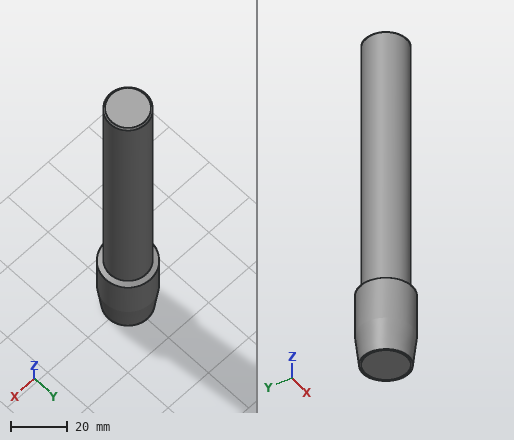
import cadquery as cq

rod_height = 140.0
rod_diameter = 17.5
rod_chamfer = 0.7

sleeve_diameter = 22.0
sleeve_height = 31.0
sleeve_top_drop = 0.8
nose_diameter = 19.0
nose_height = 12.6


def make_rod():
    """Round bar with its top edge broken, standing on the base plane."""
    bar = cq.Workplane("XY").circle(rod_diameter / 2).extrude(rod_height)
    return bar.faces(">Z").chamfer(rod_chamfer)


def make_sleeve():
    """Revolved ring with a tapered nose and sloping top, bored through to fit the rod."""
    bore_radius = rod_diameter / 2
    nose_radius = nose_diameter / 2
    outer_radius = sleeve_diameter / 2
    return (
        cq.Workplane("YZ")
        .moveTo(bore_radius, 0)
        .lineTo(nose_radius, 0)
        .lineTo(outer_radius, nose_height)
        .lineTo(outer_radius, sleeve_height - sleeve_top_drop)
        .lineTo(bore_radius, sleeve_height)
        .close()
        .revolve(360, (0, 0, 0), (0, 1, 0))
    )


rod = make_rod()
sleeve = make_sleeve()

result = cq.Compound.makeCompound([rod.val(), sleeve.val()])